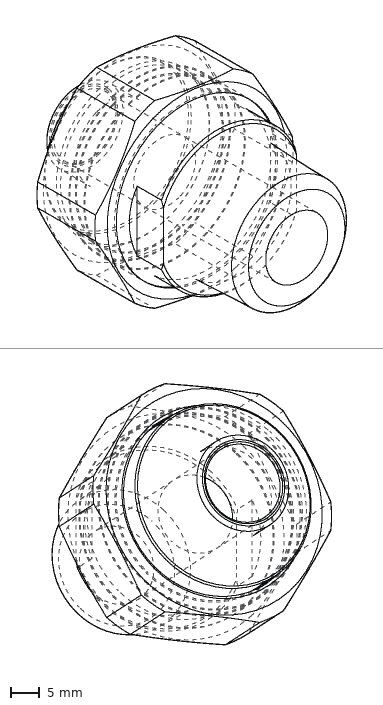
import cadquery as cq
import math


tail_face_x = 8.95
nut_start_x = 13.35
nut_end_x = 30.6
seat_x = 17.8
joint_x = 21.85
flange_end_x = 30.15
neck_x = 39.5
end_chamfer_x = 55.45
total_length = 57.5

bore_diameter = 14.0
collar_diameter = 33.0

stub_diameter = 17.2
stub_chamfer_length = 0.35
stub_face_diameter = 15.4
stub_bore_mouth_diameter = 14.65
stub_fillet = 1.0
tail_collar_chamfer = 0.35
tail_flange_diameter = 36.0

across_flats = 41.0
corner_diameter = 44.7
nut_face_diameter = 40.5
nut_chamfer_length = 0.8
nut_mouth_diameter = 33.5
nut_mouth_chamfer = 0.5
nut_cavity_diameter = 36.4

body_collar_chamfer = 0.5
flange_fillet = 1.0
neck_fillet = 0.65
thread_start_diameter = 26.9
thread_end_diameter = 25.95
end_face_diameter = 21.75
wrench_flats = 30.0
wrench_flat_x = 32.45
wrench_slope_run = 0.35

ARC_MIDPOINT = 1 - math.sqrt(0.5)


def revolve_about_x(profile):
    """Turn a closed (x, radius) profile into a solid around the X axis."""
    return profile.close().revolve(360, (0, 0, 0), (1, 0, 0))


def make_tail_piece():
    bore_r = bore_diameter / 2
    stub_r = stub_diameter / 2
    collar_r = collar_diameter / 2
    mouth_r = stub_bore_mouth_diameter / 2
    flange_r = tail_flange_diameter / 2
    profile = (
        cq.Workplane("XY")
        .moveTo(mouth_r - bore_r, bore_r)
        .lineTo(0, mouth_r)
        .lineTo(0, stub_face_diameter / 2)
        .lineTo(stub_chamfer_length, stub_r)
        .lineTo(tail_face_x - stub_fillet, stub_r)
        .threePointArc(
            (tail_face_x - stub_fillet * ARC_MIDPOINT, stub_r + stub_fillet * ARC_MIDPOINT),
            (tail_face_x, stub_r + stub_fillet),
        )
        .lineTo(tail_face_x, collar_r - tail_collar_chamfer)
        .lineTo(tail_face_x + tail_collar_chamfer, collar_r)
        .lineTo(seat_x, collar_r)
        .lineTo(seat_x, flange_r)
        .lineTo(joint_x, flange_r)
        .lineTo(joint_x, bore_r)
    )
    return revolve_about_x(profile)


def make_nut_envelope():
    """Turned blank that rounds the hexagon corners and chamfers both ends."""
    face_r = nut_face_diameter / 2
    corner_r = corner_diameter / 2
    profile = (
        cq.Workplane("XY")
        .moveTo(nut_start_x, 0)
        .lineTo(nut_start_x, face_r)
        .lineTo(nut_start_x + nut_chamfer_length, corner_r)
        .lineTo(nut_end_x - nut_chamfer_length, corner_r)
        .lineTo(nut_end_x, face_r)
        .lineTo(nut_end_x, 0)
    )
    return revolve_about_x(profile)


def make_nut_opening():
    """Chamfered mouth at the tail side, then the wider cavity out to the far face."""
    mouth_r = nut_mouth_diameter / 2
    cavity_r = nut_cavity_diameter / 2
    profile = (
        cq.Workplane("XY")
        .moveTo(nut_start_x, 0)
        .lineTo(nut_start_x, mouth_r + nut_mouth_chamfer)
        .lineTo(nut_start_x + nut_mouth_chamfer, mouth_r)
        .lineTo(seat_x, mouth_r)
        .lineTo(seat_x, cavity_r)
        .lineTo(nut_end_x, cavity_r)
        .lineTo(nut_end_x, 0)
    )
    return revolve_about_x(profile)


def make_nut():
    across_corners = across_flats / math.cos(math.radians(30))
    hexagon = (
        cq.Workplane("YZ", origin=(nut_start_x, 0, 0))
        .polygon(6, across_corners)
        .extrude(nut_end_x - nut_start_x)
    )
    return hexagon.intersect(make_nut_envelope()).cut(make_nut_opening())


def make_wrench_cut(side):
    """Material beside one wrench flat; side is +1 or -1 along Y."""
    flat_y = wrench_flats / 2
    outer_y = collar_diameter / 2
    slope_end_x = wrench_flat_x - wrench_slope_run
    return (
        cq.Workplane("XY")
        .moveTo(wrench_flat_x, side * flat_y)
        .lineTo(neck_x, side * flat_y)
        .lineTo(neck_x, side * outer_y)
        .lineTo(slope_end_x, side * outer_y)
        .close()
        .extrude(collar_diameter / 2, both=True)
    )


def make_body():
    bore_r = bore_diameter / 2
    flange_r = nut_cavity_diameter / 2
    collar_r = collar_diameter / 2
    thread_r = thread_start_diameter / 2
    profile = (
        cq.Workplane("XY")
        .moveTo(joint_x, bore_r)
        .lineTo(joint_x, flange_r)
        .lineTo(flange_end_x, flange_r)
        .lineTo(flange_end_x, collar_r + flange_fillet)
        .threePointArc(
            (flange_end_x + flange_fillet * ARC_MIDPOINT, collar_r + flange_fillet * ARC_MIDPOINT),
            (flange_end_x + flange_fillet, collar_r),
        )
        .lineTo(neck_x - body_collar_chamfer, collar_r)
        .lineTo(neck_x, collar_r - body_collar_chamfer)
        .lineTo(neck_x, thread_r + neck_fillet)
        .threePointArc(
            (neck_x + neck_fillet * ARC_MIDPOINT, thread_r + neck_fillet * ARC_MIDPOINT),
            (neck_x + neck_fillet, thread_r),
        )
        .lineTo(end_chamfer_x, thread_end_diameter / 2)
        .lineTo(total_length, end_face_diameter / 2)
        .lineTo(total_length, bore_r)
    )
    body = revolve_about_x(profile)
    for side in (-1, 1):
        body = body.cut(make_wrench_cut(side))
    return body


tail_piece = make_tail_piece()
nut = make_nut()
body = make_body()

result = cq.Compound.makeCompound([tail_piece.val(), nut.val(), body.val()])